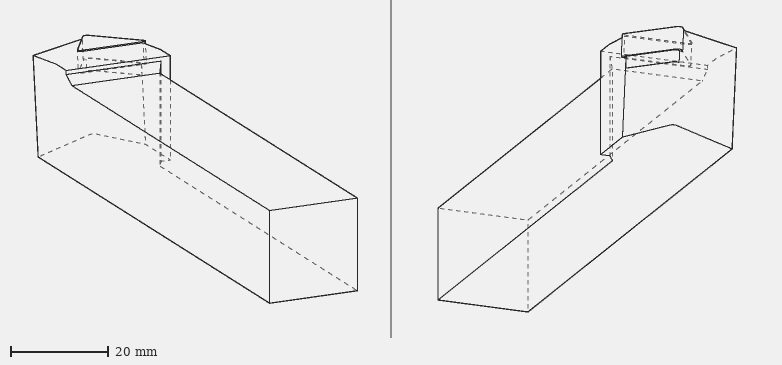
import cadquery as cq
import math

length = 124.2
shank_size = 20.0
head_width = 23.7
head_height = 22.5
rake_end = 21.7
head_end = 26.6
blend_rise = 1.6
blend_run = 2.7
rake_angle = math.radians(6.5)

insert_circle = 4.76
insert_nose = 0.8
insert_thickness = 4.76
insert_lift = 0.2
tip_y = 16.9

seat_inset = 0.5
seat_thickness = 2.5

flank_angle = math.radians(30)
nose_radius = 0.93
nose_center_x = 2.1
nose_center_y = 16.8

rake_plane = cq.Plane(
    origin=(0, 0, head_height - rake_end * math.tan(rake_angle)),
    xDir=(math.cos(rake_angle), 0, math.sin(rake_angle)),
    normal=(-math.sin(rake_angle), 0, math.cos(rake_angle)),
)


def make_triangle_prism(circle_radius, top, thickness):
    """Equilateral prism with rounded corners, centred on the insert; top is measured from the rake plane."""
    center_x = 2 * insert_circle - insert_nose + insert_lift * math.tan(rake_angle)
    half_side = math.sqrt(3) * circle_radius
    back_x = center_x + circle_radius
    outline = [
        (center_x - 2 * circle_radius, tip_y),
        (back_x, tip_y - half_side),
        (back_x, tip_y + half_side),
    ]
    prism = cq.Workplane(rake_plane).workplane(offset=top).polyline(outline).close().extrude(-thickness)
    return prism.edges(cq.selectors.ParallelDirSelector(rake_plane.zDir)).fillet(insert_nose)


def stepped_edge(head_size):
    """Points from the head to the shank: a square step, then a slope down to the shank."""
    return [
        (head_end, head_size),
        (head_end, shank_size + blend_rise),
        (head_end + blend_run, shank_size),
        (length, shank_size),
    ]


def make_blank():
    """Shank with its head raised in Z and widened in Y."""
    side = [
        (0, 0),
        (0, rake_plane.origin.z),
        (rake_end, head_height),
        *stepped_edge(head_height),
        (length, 0),
    ]
    plan = [(0, 0), (0, head_width), *stepped_edge(head_width), (length, 0)]
    side_body = cq.Workplane("XZ").polyline(side).close().extrude(-head_width)
    plan_body = cq.Workplane("XY").polyline(plan).close().extrude(head_height)
    return side_body.intersect(plan_body)


def make_nose_envelope():
    """Everything behind the two nose flanks, which meet at a right angle in a rounded corner."""
    reach = 2 * length
    half_height = length
    corner = (
        nose_center_x - nose_radius * (math.cos(flank_angle) + math.sin(flank_angle)),
        nose_center_y + nose_radius * (math.cos(flank_angle) - math.sin(flank_angle)),
    )
    along = (reach * math.cos(flank_angle), reach * math.sin(flank_angle))
    outline = [
        corner,
        (corner[0] + along[1], corner[1] - along[0]),
        (corner[0] + along[0] + along[1], corner[1] - along[0] + along[1]),
        (corner[0] + along[0], corner[1] + along[1]),
    ]
    square = cq.Workplane(rake_plane).polyline(outline).close().extrude(half_height, both=True)
    corner_edge = cq.selectors.NearestToPointSelector(rake_plane.toWorldCoords((*corner, 0)).toTuple())
    return square.edges(corner_edge).fillet(nose_radius)


def make_holder(pocket):
    """Blank with its nose cut, a seat slightly proud of the flanks, and a pocket for the insert."""
    seat = make_triangle_prism(insert_circle - seat_inset, insert_lift - insert_thickness, seat_thickness)
    return make_blank().intersect(make_nose_envelope()).union(seat).cut(pocket)


insert = make_triangle_prism(insert_circle, insert_lift, insert_thickness)
holder = make_holder(insert)

result = cq.Compound.makeCompound([holder.solids().val(), insert.solids().val()])